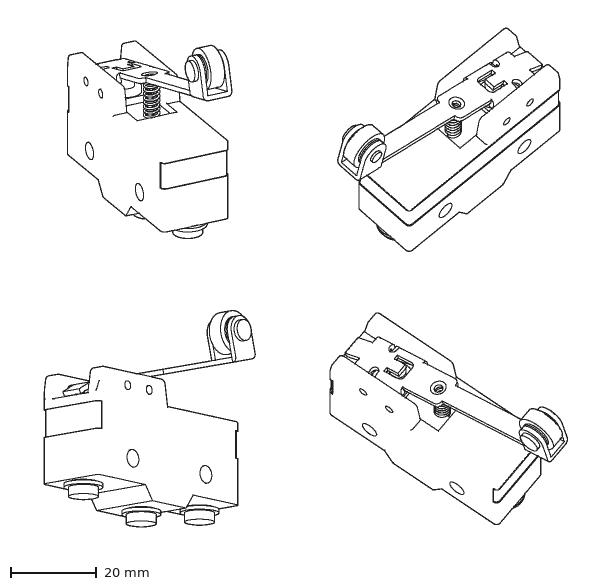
import cadquery as cq
import math

overall_length = 60.7
axis_y = cq.Vector(0, 1, 0)

case_length = 49.4
case_width = 17.55
case_top = 19.85
corner_radius = 1.1
edge_radius = 0.4
band_bottom = 11.05
band_top = 17.6
band_depth = 0.21
front_panel_start = 1.3
foot_start = 16.45
foot_end = 33.15
foot_slope_run = 2.5
foot_depth = 3.45
mount_radius = 2.05
mount_z = 5.6
mount_xs = (12.1, 37.6)

ear_gap = 10.45
ear_length = 24.45
ear_top = 26.05
ear_draft = math.radians(9.5)
ear_corner_radius = 1.4
ear_hole_radius = 1.05
ear_hole_z = 22.7
pivot_x = 10.25
spare_hole_x = 17.8

pocket_start = 17.6
pocket_end = 29.5
pocket_depth = 1.8
plunger_x = 13.8
collar_radius = 3.6
collar_height = 1.45
collar_edge_radius = 0.35
button_radius = 1.95
button_top = 24.1

end_screw_xs = (4.55, 45.15)
foot_screw_x = (foot_start + foot_end) / 2
screw_neck_radius = 3.35
screw_neck = 0.4
washer_radius = 4.55
washer_thickness = 0.85
screw_head_radius = 3.5
screw_head_height = 2.2
screw_dome_height = 0.55

lever_tilt = math.radians(15)
sheet = 1.2
lever_top = -5.75
lever_bottom = lever_top - sheet
arm_half_width = 2.55
fork_radius = 3.5
fork_half_width = arm_half_width + sheet
plate_half_width = 4.05
plate_end = -29.4
plate_corner_radius = 1.35
channel_half_width = 5.05
channel_start = -54.4
channel_end = -40.2
flange_depth = 2.35
lug_radius = 2.8
bend_radius = 1.2
slot_inner_y = 2.6
window_start = -46.9
window_end = -41.5
window_half_width = 2.6
window_corner_radius = 1.1
catch_end = -43.6
catch_half_width = 1.45
sink_x = -32.55
sink_radius = 1.9
sink_hole_radius = 1.05
sink_depth = 0.3
tongue_flat = 0.35
tongue_length = 4.5
tongue_bend = math.radians(15)

roller_radius = 5.0
roller_half_width = 1.75
hub_radius = fork_radius
hub_half_width = 2.2
neck_radius = 2.0
rivet_head_radius = 2.5
rivet_head_end = 4.75
rivet_tail_radius = 1.5
rivet_tail_end = 4.4

roller_x = overall_length - fork_radius * math.cos(lever_tilt) + lever_bottom * math.sin(lever_tilt)
roller_z = 43.15

spring_x = 26.7
spring_outer_radius = 1.95
wire_radius = 0.275
spring_pitch = 1.1
coil_radius = spring_outer_radius - wire_radius


def box(x0, x1, y0, y1, z0, z1):
    """Block between two opposite corners."""
    return cq.Workplane("XY").box(x1 - x0, y1 - y0, z1 - z0, centered=False).translate((x0, y0, z0))


def side_profile(points, half_width):
    """Polygon in the XZ plane, extruded evenly to both sides of it."""
    return cq.Workplane("XZ").polyline(points).close().extrude(half_width, both=True)


def cross_cylinder(x, z, radius, y0, y1):
    """Cylinder along Y."""
    return cq.Workplane(cq.Solid.makeCylinder(radius, y1 - y0, cq.Vector(x, y0, z), axis_y))


def in_lever_frame(x, z):
    """Position of a point of the XZ plane in the lever's frame."""
    dx = x - roller_x
    dz = z - roller_z
    return (
        dx * math.cos(lever_tilt) + dz * math.sin(lever_tilt),
        dz * math.cos(lever_tilt) - dx * math.sin(lever_tilt),
    )


def tangent_point(point, center, radius, side):
    """Where a line from the point touches the circle; side is +1 or -1."""
    dx = point[0] - center[0]
    dz = point[1] - center[1]
    angle = math.atan2(dz, dx) + side * math.acos(radius / math.hypot(dx, dz))
    return (center[0] + radius * math.cos(angle), center[1] + radius * math.sin(angle))


def footprint(z0, z1, inset=0.0):
    """Prism over the housing outline with rounded corners, optionally inset all round."""
    half_width = case_width / 2 - inset
    prism = box(inset, case_length - inset, -half_width, half_width, z0, z1)
    return prism.edges("|Z").fillet(corner_radius)


def main_block():
    """Block whose top edge is rounded except at the left end."""
    half_width = case_width / 2
    overhang = corner_radius
    block = box(-overhang, case_length, -half_width, half_width, 0, case_top)
    block = block.edges("|Z and >X").fillet(corner_radius)
    block = block.faces(">Z").edges("not <X").fillet(edge_radius)
    return block.intersect(footprint(0, case_top))


def waist_band():
    """Shallow groove round the ends, corners and back; the front panel stays flush."""
    ring = footprint(band_bottom, band_top).cut(footprint(band_bottom, band_top, band_depth))
    panel = box(front_panel_start, case_length - front_panel_start,
                -case_width / 2, 0, band_bottom, band_top)
    return ring.cut(panel)


def ear(side):
    """Drafted ear with rounded edges; side is -1 for front and +1 for back."""
    base = case_top - edge_radius
    lean = (ear_top - case_top) * math.tan(ear_draft)
    thickness = (case_width - ear_gap) / 2
    body = side_profile(
        [
            (0, base),
            (0, case_top),
            (lean, ear_top),
            (ear_length - lean, ear_top),
            (ear_length, case_top),
            (ear_length, base),
        ],
        thickness / 2,
    )
    body = body.faces(">Z").edges("|Y").fillet(ear_corner_radius)
    body = body.faces("|Y").edges("not <Z").fillet(edge_radius)
    body = body.translate((0, side * (ear_gap + thickness) / 2, 0))
    return body.intersect(footprint(base, ear_top))


def foot():
    """Trapezoid under the middle of the housing."""
    return side_profile(
        [
            (foot_start, 0),
            (foot_start + foot_slope_run, -foot_depth),
            (foot_end - foot_slope_run, -foot_depth),
            (foot_end, 0),
        ],
        case_width / 2,
    )


def screw(x, top):
    """Washer-head screw with a domed end, hanging below the given height."""
    washer_top = top - screw_neck
    head_top = washer_top - washer_thickness
    head_bottom = head_top - screw_head_height
    dome_bottom = head_bottom - screw_dome_height
    cap_sphere = (screw_head_radius**2 + screw_dome_height**2) / (2 * screw_dome_height)
    cap_mid_x = screw_head_radius / 2
    cap_mid_z = dome_bottom + cap_sphere - math.sqrt(cap_sphere**2 - cap_mid_x**2)
    profile = (
        cq.Workplane("XZ")
        .moveTo(0, top)
        .lineTo(screw_neck_radius, top)
        .lineTo(screw_neck_radius, washer_top)
        .lineTo(washer_radius, washer_top)
        .lineTo(washer_radius, head_top)
        .lineTo(screw_head_radius, head_top)
        .lineTo(screw_head_radius, head_bottom)
        .threePointArc((cap_mid_x, cap_mid_z), (0, dome_bottom))
        .close()
    )
    return profile.revolve(360, (0, 0, 0), (0, 1, 0)).translate((x, 0, 0))


def plunger():
    """Round collar with the button that the lever presses."""
    collar = cq.Workplane("XY", origin=(plunger_x, 0, case_top)).circle(collar_radius).extrude(collar_height)
    collar = collar.faces(">Z").edges().fillet(collar_edge_radius)
    button = cq.Workplane("XY", origin=(plunger_x, 0, case_top))
    return collar.union(button.circle(button_radius).extrude(button_top - case_top))


def make_housing():
    half_width = case_width / 2
    body = main_block().cut(waist_band()).union(foot())
    for side in (-1, 1):
        body = body.union(ear(side))
    body = body.cut(
        box(pocket_start, pocket_end, -ear_gap / 2, ear_gap / 2, case_top - pocket_depth, case_top)
    )
    for x in mount_xs:
        body = body.cut(cross_cylinder(x, mount_z, mount_radius, -half_width, half_width))
    for x in (pivot_x, spare_hole_x):
        body = body.cut(cross_cylinder(x, ear_hole_z, ear_hole_radius, -half_width, half_width))
    body = body.union(plunger())
    for x in end_screw_xs:
        body = body.union(screw(x, 0))
    return body.union(screw(foot_screw_x, -foot_depth))


def channel():
    """Rear of the lever: sheet with both sides bent down and a round lug at the pivot."""
    lug = in_lever_frame(pivot_x, ear_hole_z)
    front_corner = (channel_start, lever_bottom)
    back_corner = (channel_end, lever_top - flange_depth)
    outline = (
        cq.Workplane("XZ")
        .moveTo(channel_start, lever_top)
        .lineTo(*front_corner)
        .lineTo(*tangent_point(front_corner, lug, lug_radius, 1))
        .threePointArc((lug[0], lug[1] - lug_radius), tangent_point(back_corner, lug, lug_radius, -1))
        .lineTo(*back_corner)
        .lineTo(channel_end, lever_top)
        .close()
    )
    body = outline.extrude(channel_half_width, both=True)
    body = body.faces(">Z").edges("|X").fillet(bend_radius)
    inner = channel_half_width - sheet
    lowest = lug[1] - lug_radius
    body = body.cut(box(channel_start, channel_end, -inner, inner, lowest, lever_bottom))
    for side in (-1, 1):
        body = body.cut(pivot_slot(lug, side))
    return body


def pivot_slot(lug, side):
    """Round-ended slot through the bend, down to the middle of the pivot."""
    x, bottom = lug
    round_y = slot_inner_y + ear_hole_radius
    slot = box(x - ear_hole_radius, x + ear_hole_radius, round_y, channel_half_width, bottom, lever_top)
    end = cq.Workplane("XY", origin=(x, round_y, bottom)).circle(ear_hole_radius)
    slot = slot.union(end.extrude(lever_top - bottom))
    return slot if side > 0 else slot.mirror("XZ")


def flat_sheet():
    """Wide plate with rounded front corners and the narrow arm up to the fork."""
    plate = box(channel_end, plate_end, -plate_half_width, plate_half_width, lever_bottom, lever_top)
    plate = plate.edges("|Z and >X").fillet(plate_corner_radius)
    arm = box(plate_end - plate_corner_radius, fork_radius,
              -arm_half_width, arm_half_width, lever_bottom, lever_top)
    return plate.union(arm)


def window():
    """U-shaped slot that leaves a straight catch in the sheet."""
    opening = box(window_start, window_end, -window_half_width, window_half_width, lever_bottom, lever_top)
    opening = opening.edges("|Z and >X").fillet(window_corner_radius)
    catch = box(window_start, catch_end, -catch_half_width, catch_half_width, lever_bottom, lever_top)
    return opening.cut(catch)


def countersink():
    """Countersunk hole above the spring."""
    hole = cq.Workplane("XY", origin=(sink_x, 0, lever_bottom)).circle(sink_hole_radius).extrude(sheet)
    cone_base = cq.Vector(sink_x, 0, lever_top - sink_depth)
    return hole.union(cq.Workplane(cq.Solid.makeCone(sink_hole_radius, sink_radius, sink_depth, cone_base)))


def tongue():
    """Tab at the rear end of the sheet, bent down further."""
    sin_bend = math.sin(tongue_bend)
    cos_bend = math.cos(tongue_bend)
    bend_x = channel_start - tongue_flat
    tip_x = bend_x - tongue_length * cos_bend
    tip_z = lever_top - tongue_length * sin_bend
    return side_profile(
        [
            (channel_start, lever_top),
            (bend_x, lever_top),
            (tip_x, tip_z),
            (tip_x + sheet * sin_bend, tip_z - sheet * cos_bend),
            (bend_x + sheet * math.tan(tongue_bend / 2), lever_bottom),
            (channel_start, lever_bottom),
        ],
        arm_half_width,
    )


def fork():
    """Two round-headed cheeks bent up from the end of the arm."""
    body = (
        cq.Workplane("XZ")
        .moveTo(-fork_radius, lever_bottom)
        .lineTo(fork_radius, lever_bottom)
        .lineTo(fork_radius, 0)
        .threePointArc((0, fork_radius), (-fork_radius, 0))
        .close()
        .extrude(fork_half_width, both=True)
    )
    body = body.faces("<Z").edges("|X").fillet(bend_radius)
    gap = box(-fork_radius, fork_radius, -arm_half_width, arm_half_width, lever_top, fork_radius)
    return body.cut(gap)


def roller():
    """Roller with stepped hubs, held between the cheeks by a rivet along the origin's Y axis."""
    steps = [
        (roller_radius, -roller_half_width, roller_half_width),
        (hub_radius, -hub_half_width, hub_half_width),
        (neck_radius, -arm_half_width, arm_half_width),
        (rivet_head_radius, -rivet_head_end, -fork_half_width),
        (rivet_tail_radius, -fork_half_width, rivet_tail_end),
    ]
    body = cross_cylinder(0, 0, *steps[0])
    for step in steps[1:]:
        body = body.union(cross_cylinder(0, 0, *step))
    return body


def make_lever():
    body = channel().union(flat_sheet()).cut(window()).cut(countersink())
    body = body.union(tongue()).union(fork()).union(roller())
    body = body.rotate((0, 0, 0), (0, 1, 0), -math.degrees(lever_tilt)).translate((roller_x, 0, roller_z))
    pivot_pin = cross_cylinder(pivot_x, ear_hole_z, ear_hole_radius, -case_width / 2, case_width / 2)
    return body.union(pivot_pin)


def make_spring():
    """Coil from the pocket floor up to the underside of the lever."""
    low_side = spring_x - spring_outer_radius
    lever_under = (
        roller_z + lever_bottom / math.cos(lever_tilt) + (low_side - roller_x) * math.tan(lever_tilt)
    )
    start_z = case_top - pocket_depth + wire_radius
    height = lever_under - wire_radius - start_z
    path = cq.Wire.makeHelix(spring_pitch, height, coil_radius)
    wire = cq.Workplane("XZ", origin=(coil_radius, 0, 0)).circle(wire_radius)
    return wire.sweep(cq.Workplane(path), isFrenet=True).translate((spring_x, 0, start_z))


housing = make_housing()
lever = make_lever()
spring = make_spring()

result = cq.Compound.makeCompound([housing.solids().val(), lever.solids().val(), spring.val()])